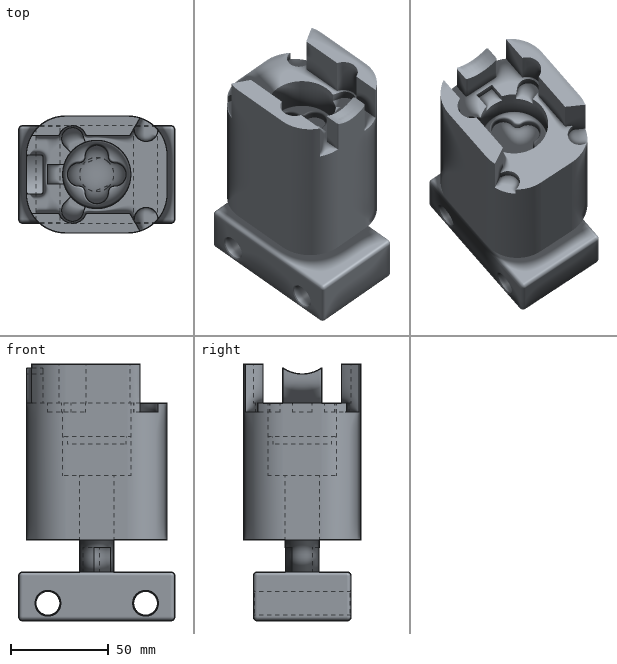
import cadquery as cq
import math

BASE_LENGTH = 80.0
BASE_WIDTH = 50.0
BASE_HEIGHT = 25.0
BASE_ROUND = 2.0
MOUNT_HOLE_DIA = 12.2
MOUNT_HOLE_SPACING = 50.0
MOUNT_HOLE_Z = 9.0
MOUNT_HOLE_CHAMFER = 0.5

HOUSING_LENGTH = 72.0
HOUSING_WIDTH = 60.0
HOUSING_HEIGHT = 90.0
HOUSING_CORNER_RADIUS = 20.0
HOUSING_GAP = 16.5
BORE_DIA = 35.0
CHANNEL_WIDTH = 40.0
CHANNEL_DEPTH = 20.0
RECESS_DEPTH = 4.4

WALL_END_X = 17.0
WALL_END_ANGLE = 60.0

CORNER_POCKET_DIA = 12.2
CORNER_POCKET_X = 25.3
CORNER_POCKET_Y = 23.0

SIDE_POCKET_DIA = 11.2
SIDE_POCKET_X = -12.4
SIDE_POCKET_Y = 18.4
OUTER_FLANK_ANGLE = -45.0
INNER_FLANK_ANGLE = -72.0

WALL_NOTCH_DIA = 14.6
WALL_NOTCH_Y = 17.7

KEY_WIDTH = 10.0
KEY_END_X = -25.3

TONGUE_THICKNESS = 8.5
TONGUE_WIDTH = 20.0
TONGUE_ROUND = 1.0
SADDLE_DIA = 35.0
SADDLE_DROP = 5.0

ROD_DIA = 17.5
FLAT_ACROSS = 15.0
FLAT_HEIGHT = 12.5
FLAT_ANGLE = 22.0

PISTON_DEPTH = 17.0
PISTON_HEIGHT = 20.0
PISTON_ROUND = 1.0
LOBE_RADIUS = 6.0
LOBE_OFFSET = 9.0
LOBE_DEPTH = 4.0

HOUSING_BOTTOM = BASE_HEIGHT + HOUSING_GAP
HOUSING_TOP = HOUSING_BOTTOM + HOUSING_HEIGHT
CHANNEL_FLOOR = HOUSING_TOP - CHANNEL_DEPTH
RECESS_FLOOR = CHANNEL_FLOOR - RECESS_DEPTH
PISTON_TOP = CHANNEL_FLOOR - PISTON_DEPTH
PISTON_BOTTOM = PISTON_TOP - PISTON_HEIGHT

SIDES = (1, -1)


def cylinder(diameter, bottom, top, x=0.0, y=0.0):
    plane = cq.Workplane("XY", origin=(x, y, bottom))
    return plane.circle(diameter / 2).extrude(top - bottom)


def box(x_min, x_max, width, bottom, top):
    plane = cq.Workplane("XY", origin=((x_min + x_max) / 2, 0, bottom))
    return plane.rect(x_max - x_min, width).extrude(top - bottom)


def prism(points, bottom, top):
    return cq.Workplane("XY", origin=(0, 0, bottom)).polyline(points).close().extrude(top - bottom)


def make_base():
    block = cq.Workplane("XY").box(BASE_LENGTH, BASE_WIDTH, BASE_HEIGHT, centered=(True, True, False))
    block = block.edges().fillet(BASE_ROUND)
    mouth_radius = MOUNT_HOLE_DIA / 2 + MOUNT_HOLE_CHAMFER
    half_width = BASE_WIDTH / 2
    for side in SIDES:
        x = side * MOUNT_HOLE_SPACING / 2
        hole = (
            cq.Workplane("XY", origin=(x, 0, MOUNT_HOLE_Z))
            .moveTo(0, -half_width)
            .lineTo(mouth_radius, -half_width)
            .lineTo(MOUNT_HOLE_DIA / 2, -half_width + MOUNT_HOLE_CHAMFER)
            .lineTo(MOUNT_HOLE_DIA / 2, half_width - MOUNT_HOLE_CHAMFER)
            .lineTo(mouth_radius, half_width)
            .lineTo(0, half_width)
            .close()
            .revolve(360, (0, 0, 0), (0, 1, 0))
        )
        block = block.cut(hole)
    return block


def housing_column(bottom, top):
    column = box(-HOUSING_LENGTH / 2, HOUSING_LENGTH / 2, HOUSING_WIDTH, bottom, top)
    return column.edges("|Z").fillet(HOUSING_CORNER_RADIUS)


def slope_x(y):
    """X of the sloped wall end at a distance y from the middle plane."""
    return WALL_END_X + (y - CHANNEL_WIDTH / 2) / math.tan(math.radians(WALL_END_ANGLE))


def make_channel_walls():
    """Two walls along X, each cut off by a slope at its +X end and notched above its side pocket.

    They start at the recess floor, so that the slope also bounds the corner pockets.
    """
    inner_y = CHANNEL_WIDTH / 2
    outer_y = HOUSING_WIDTH / 2
    envelope = housing_column(RECESS_FLOOR, HOUSING_TOP)
    walls = []
    for side in SIDES:
        outline = [
            (-HOUSING_LENGTH / 2, side * inner_y),
            (WALL_END_X, side * inner_y),
            (slope_x(outer_y), side * outer_y),
            (-HOUSING_LENGTH / 2, side * outer_y),
        ]
        notch = cylinder(WALL_NOTCH_DIA, RECESS_FLOOR, HOUSING_TOP, SIDE_POCKET_X, side * WALL_NOTCH_Y)
        walls.append(prism(outline, RECESS_FLOOR, HOUSING_TOP).intersect(envelope).cut(notch))
    return walls


def make_tongue():
    outer_x = -HOUSING_LENGTH / 2
    tongue = box(outer_x, outer_x + TONGUE_THICKNESS, TONGUE_WIDTH, CHANNEL_FLOOR, HOUSING_TOP)
    tongue = tongue.edges("|Z").fillet(TONGUE_ROUND)
    saddle_z = HOUSING_TOP - SADDLE_DROP + SADDLE_DIA / 2
    saddle = (
        cq.Workplane("YZ", origin=(outer_x, 0, saddle_z)).circle(SADDLE_DIA / 2).extrude(TONGUE_THICKNESS)
    )
    return tongue.cut(saddle)


def flank_points(angle, turn):
    """Tangent point of a flank on the side pocket and the far end of that flank inside the bore.

    The turn of +1 or -1 tells on which side of the flank direction the tangent point lies.
    """
    radius = SIDE_POCKET_DIA / 2
    direction = math.radians(angle)
    normal = direction + turn * math.pi / 2
    start = (SIDE_POCKET_X + radius * math.cos(normal), SIDE_POCKET_Y + radius * math.sin(normal))
    end = (
        start[0] + SIDE_POCKET_DIA * math.cos(direction),
        start[1] + SIDE_POCKET_DIA * math.sin(direction),
    )
    return start, end


def make_side_pocket(side):
    """Round pocket and the tapering mouth that opens it into the bore."""
    outer_start, outer_end = flank_points(OUTER_FLANK_ANGLE, -1)
    inner_start, inner_end = flank_points(INNER_FLANK_ANGLE, 1)
    outline = [(x, side * y) for x, y in (outer_start, outer_end, inner_end, inner_start)]
    outline.append((SIDE_POCKET_X, side * SIDE_POCKET_Y))
    mouth = prism(outline, RECESS_FLOOR, CHANNEL_FLOOR)
    return mouth.union(
        cylinder(SIDE_POCKET_DIA, RECESS_FLOOR, CHANNEL_FLOOR, SIDE_POCKET_X, side * SIDE_POCKET_Y)
    )


def make_corner_pocket(side):
    """Round pocket, opened along the sloped wall end to the outside of the housing."""
    center = (CORNER_POCKET_X, side * CORNER_POCKET_Y)
    outer_y = HOUSING_WIDTH / 2
    outline = [
        center,
        (slope_x(CORNER_POCKET_Y), side * CORNER_POCKET_Y),
        (slope_x(outer_y), side * outer_y),
    ]
    opening = prism(outline, RECESS_FLOOR, CHANNEL_FLOOR)
    return opening.union(cylinder(CORNER_POCKET_DIA, RECESS_FLOOR, CHANNEL_FLOOR, *center))


def make_housing():
    housing = housing_column(HOUSING_BOTTOM, CHANNEL_FLOOR)
    for side in SIDES:
        housing = housing.cut(make_side_pocket(side))
        housing = housing.cut(make_corner_pocket(side))
    housing = housing.cut(box(KEY_END_X, 0, KEY_WIDTH, RECESS_FLOOR, CHANNEL_FLOOR))
    for wall in make_channel_walls():
        housing = housing.union(wall)
    housing = housing.union(make_tongue())
    housing = housing.cut(cylinder(BORE_DIA, PISTON_BOTTOM, HOUSING_TOP))
    return housing.cut(cylinder(ROD_DIA, HOUSING_BOTTOM, PISTON_BOTTOM))


def make_rod():
    """Round rod with two parallel wrench flats at its foot."""
    rod = cylinder(ROD_DIA, BASE_HEIGHT, PISTON_BOTTOM)
    foot_top = BASE_HEIGHT + FLAT_HEIGHT
    between_flats = box(-ROD_DIA, ROD_DIA, FLAT_ACROSS, BASE_HEIGHT, foot_top)
    foot = cylinder(ROD_DIA, BASE_HEIGHT, foot_top)
    waste = foot.cut(between_flats.rotate((0, 0, 0), (0, 0, 1), FLAT_ANGLE))
    return rod.cut(waste)


def quarter_turn(point, turns):
    """The point turned about the axis by a number of quarter turns."""
    x, y = point
    for _ in range(turns):
        x, y = -y, x
    return x, y


def make_piston():
    """Disc with a four-lobed recess, rounded along its rim and along the recess edge."""
    lobe_start = (LOBE_RADIUS, LOBE_OFFSET)
    lobe_tip = (0, LOBE_OFFSET + LOBE_RADIUS)
    lobe_end = (-LOBE_RADIUS, LOBE_OFFSET)
    valley = LOBE_OFFSET - (LOBE_OFFSET - LOBE_RADIUS) * math.sqrt(0.5)
    valley_middle = (-valley, valley)
    lobes = cq.Workplane("XY", origin=(0, 0, PISTON_TOP - LOBE_DEPTH)).moveTo(*lobe_start)
    for turns in range(4):
        lobes = lobes.threePointArc(quarter_turn(lobe_tip, turns), quarter_turn(lobe_end, turns))
        lobes = lobes.threePointArc(quarter_turn(valley_middle, turns), quarter_turn(lobe_start, turns + 1))
    piston = cylinder(BORE_DIA, PISTON_BOTTOM, PISTON_TOP).cut(lobes.close().extrude(LOBE_DEPTH))
    return piston.faces(">Z").edges().fillet(PISTON_ROUND)


base = make_base()
housing = make_housing()
rod = make_rod()
piston = make_piston()

result = cq.Compound.makeCompound([base.val(), housing.val(), rod.val(), piston.val()])